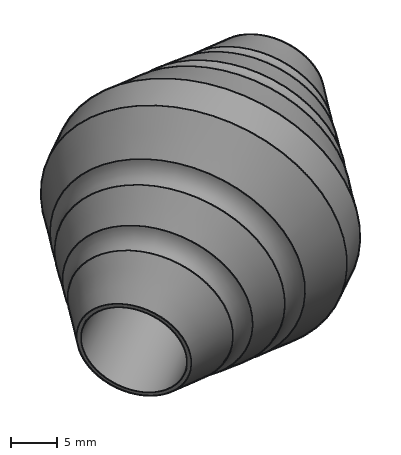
import cadquery as cq
import math

length = 45.0
max_radius = 17.5
end_radius = 6.55
bore_radius = 6.05
band_width = 4.5

end_cone_length = 5.5
middle_cone_length = 4.1
outer_neck_radius = 9.45
inner_neck_radius = 13.15
outer_neck_length = 0.25
inner_neck_length = 0.4
cove_radius = 2.5
cove_length = 2.25

half_length = length / 2
half_band = band_width / 2

outer_neck_start = half_length - end_cone_length
outer_cove_start = outer_neck_start - outer_neck_length
outer_cove_end = outer_cove_start - cove_length
inner_neck_start = outer_cove_end - middle_cone_length
inner_cove_start = inner_neck_start - inner_neck_length
inner_cove_end = inner_cove_start - cove_length


def cove_rise(distance):
    """Radius gained on a cove, a given distance along the axis from its tangent start."""
    return cove_radius - math.sqrt(cove_radius**2 - distance**2)


def step_points(neck_radius, neck_start, cove_start, cove_end):
    """Points (distance, radius) of one step: neck start, cove start, cove middle, cove end."""
    cove_middle = (cove_start + cove_end) / 2
    return [
        (neck_start, neck_radius),
        (cove_start, neck_radius),
        (cove_middle, neck_radius + cove_rise(cove_length / 2)),
        (cove_end, neck_radius + cove_rise(cove_length)),
    ]


def add_step(profile, points):
    """Draw to the first point, straight to the second, then an arc through the last two."""
    first, second, arc_middle, arc_end = points
    return profile.lineTo(*first).lineTo(*second).threePointArc(arc_middle, arc_end)


def add_step_mirrored(profile, points):
    """Draw the same step on the -Y half, running from the middle plane outwards."""
    neck_start, cove_start, arc_middle, cove_end = [(-distance, radius) for distance, radius in points]
    return profile.lineTo(*cove_end).threePointArc(arc_middle, cove_start).lineTo(*neck_start)


def make_body():
    """Revolve the wall profile, drawn in the YZ plane, around the Y axis."""
    outer_step = step_points(outer_neck_radius, outer_neck_start, outer_cove_start, outer_cove_end)
    inner_step = step_points(inner_neck_radius, inner_neck_start, inner_cove_start, inner_cove_end)

    profile = cq.Workplane("YZ").moveTo(half_length, bore_radius).lineTo(half_length, end_radius)
    profile = add_step(profile, outer_step)
    profile = add_step(profile, inner_step)
    profile = profile.lineTo(half_band, max_radius).lineTo(-half_band, max_radius)
    profile = add_step_mirrored(profile, inner_step)
    profile = add_step_mirrored(profile, outer_step)
    profile = profile.lineTo(-half_length, end_radius).lineTo(-half_length, bore_radius).close()
    return profile.revolve(360, (0, 0, 0), (1, 0, 0))


result = make_body()